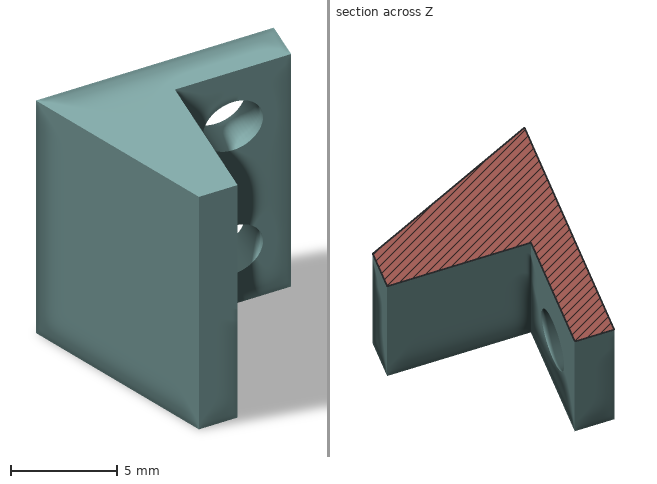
import cadquery as cq

width = 9.21
depth = 12.28
height = 15.0

wall = 2.0
plate_reach = 6.0

hole_diameter = 3.1
hole_edge_distance = 3.0
hole_spacing = 8.0

flange_back = depth - plate_reach
flange_front = flange_back - wall

profile = [
    (0, 0),
    (width, flange_front),
    (width, flange_back),
    (wall, flange_back),
    (wall, depth),
    (0, depth),
]
body = cq.Workplane("XY").polyline(profile).close().extrude(height)

hole_y = depth - hole_edge_distance
hole_centers = [(hole_y, height / 2 + side * hole_spacing / 2) for side in (-1, 1)]
holes = cq.Workplane("YZ").pushPoints(hole_centers).circle(hole_diameter / 2).extrude(wall)

result = body.cut(holes)